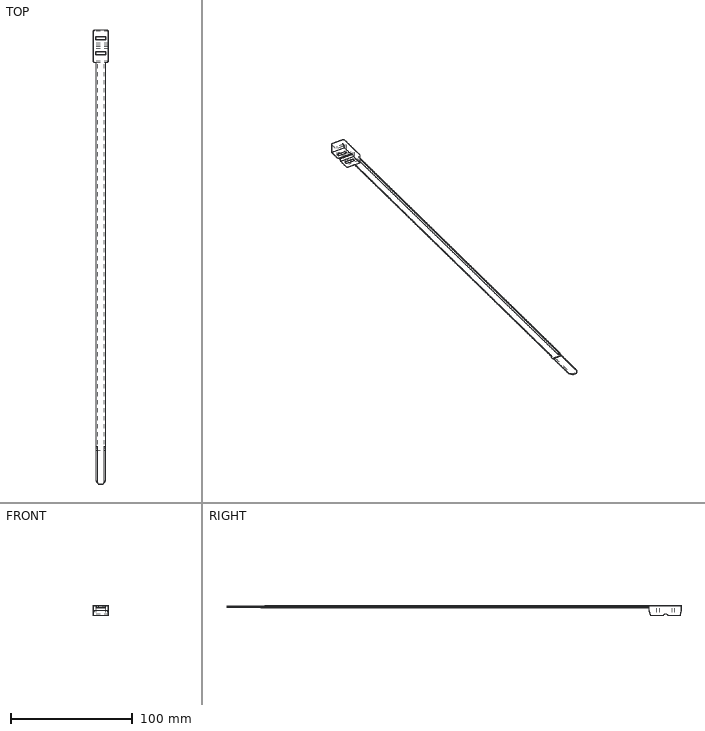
import cadquery as cq

head_width = 12.45
total_length = 373.28
head_height = 8.18

head_length = 26.8
head_rear_y = total_length / 2
head_front_y = head_rear_y - head_length
head_corner_radius = 1.4
shoulder_depth = 3.9
front_lean = 1.4
rear_lean = 1.0

slot_width = 7.9
slot_length = 2.25
slot_pitch = 12.4
slot_center_y = head_rear_y - 13.0
slot_offsets = (-slot_pitch / 2, slot_pitch / 2)

relief_mouth = 4.4
relief_roof = 1.4
relief_depth = 1.3

strap_width = 7.9
strap_thickness = 2.0
tip_y = -total_length / 2
tail_length = 31.0
tail_start_y = tip_y + tail_length
tail_drop = 0.3
tail_ramp_length = 1.1
tail_bottom_depth = 1.3
tail_step_y = tail_start_y - 3.0
tip_width = 3.6
tip_taper_length = 3.0

bevel_width = 1.1
strap_bevel_height = 1.0
tail_bevel_height = 0.6


def make_head():
    """Block with rounded upright corners, its lower end faces leaning inward below the shoulder."""
    bottom_front_y = head_front_y + front_lean
    bottom_rear_y = head_rear_y - rear_lean
    profile = (
        cq.Workplane("YZ")
        .moveTo(head_front_y, 0)
        .lineTo(head_rear_y, 0)
        .lineTo(head_rear_y, -shoulder_depth)
        .lineTo(bottom_rear_y, -head_height)
        .lineTo(bottom_front_y, -head_height)
        .lineTo(head_front_y, -shoulder_depth)
        .close()
        .extrude(head_width / 2, both=True)
    )
    rounded_block = (
        cq.Workplane("XY")
        .box(head_width, head_length, head_height, centered=(True, False, False))
        .translate((0, head_front_y, -head_height))
        .edges("|Z")
        .fillet(head_corner_radius)
    )
    return profile.intersect(rounded_block)


def make_slots():
    """Two rectangular openings through the full height of the head."""
    return (
        cq.Workplane("XY")
        .pushPoints([(0, slot_center_y + offset) for offset in slot_offsets])
        .rect(slot_width, slot_length)
        .extrude(-head_height)
    )


def make_relief():
    """Trapezoidal groove running across the underside of the head."""
    roof_z = -head_height + relief_depth
    return (
        cq.Workplane("YZ")
        .moveTo(slot_center_y - relief_mouth / 2, -head_height)
        .lineTo(slot_center_y + relief_mouth / 2, -head_height)
        .lineTo(slot_center_y + relief_roof / 2, roof_z)
        .lineTo(slot_center_y - relief_roof / 2, roof_z)
        .close()
        .extrude(head_width / 2, both=True)
    )


def make_strap():
    """Flat strap whose tail is lowered on top, thinned from below and tapered at the tip."""
    root_y = head_front_y + head_corner_radius
    taper_y = tip_y + tip_taper_length
    outline = (
        cq.Workplane("XY")
        .moveTo(-strap_width / 2, root_y)
        .lineTo(-strap_width / 2, taper_y)
        .lineTo(-tip_width / 2, tip_y)
        .lineTo(tip_width / 2, tip_y)
        .lineTo(strap_width / 2, taper_y)
        .lineTo(strap_width / 2, root_y)
        .close()
        .extrude(-strap_thickness)
    )
    profile = (
        cq.Workplane("YZ")
        .moveTo(root_y, 0)
        .lineTo(tail_start_y, 0)
        .lineTo(tail_start_y - tail_ramp_length, -tail_drop)
        .lineTo(tip_y, -tail_drop)
        .lineTo(tip_y, -tail_bottom_depth)
        .lineTo(tail_step_y, -tail_bottom_depth)
        .lineTo(tail_step_y, -strap_thickness)
        .lineTo(root_y, -strap_thickness)
        .close()
        .extrude(strap_width / 2, both=True)
    )
    return outline.intersect(profile)


def make_edge_wedge(side, edge_z, bevel_height, start_y, length):
    """Wedge along one long edge of the strap; a positive height rises from edge_z."""
    edge_x = side * strap_width / 2
    return (
        cq.Workplane("XZ", origin=(0, start_y, 0))
        .moveTo(edge_x, edge_z)
        .lineTo(edge_x - side * bevel_width, edge_z)
        .lineTo(edge_x, edge_z + bevel_height)
        .close()
        .extrude(length)
    )


def bevel_strap(strap):
    """Bevel the lower edges along the strap and the upper edges along the tail."""
    strap_length = head_front_y - tail_start_y
    for side in (-1, 1):
        lower = make_edge_wedge(side, -strap_thickness, strap_bevel_height, head_front_y, strap_length)
        upper = make_edge_wedge(side, -tail_drop, -tail_bevel_height, tail_start_y, tail_length)
        strap = strap.cut(lower).cut(upper)
    return strap


head = make_head().cut(make_slots()).cut(make_relief())
result = head.union(bevel_strap(make_strap()))